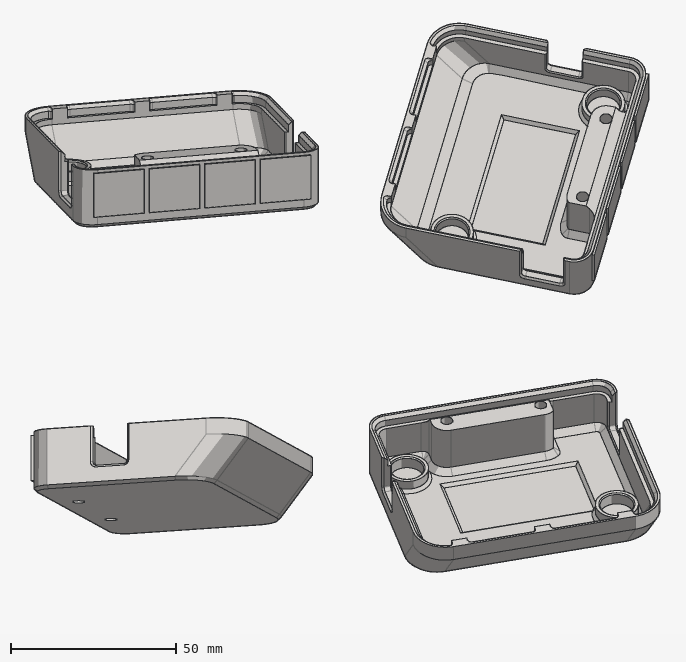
import cadquery as cq
import math

DIAGONAL = math.sqrt(0.5)

LENGTH = 67.0
WIDTH = 77.0
HEIGHT = 18.3
WALL = 3.0
FLOOR = 2.0
FRONT_RADIUS = 10.0
BACK_RADIUS = 6.0

SLOPE_TOP = 13.3
SLOPE_RUN = 10.0
BOTTOM_BEVEL = 1.0
FLOOR_BEVEL = 2.0

RIM_FLAT = 0.8
RIM_BEVEL = 1.0
LEDGE_DEPTH = 3.2
LIP = RIM_FLAT + RIM_BEVEL
LEDGE_Z = HEIGHT - LEDGE_DEPTH

TAB_LENGTH = 4.8
TAB_PITCH = 25.95
TAB_FLARE = 1.15

SLOT_RADIUS = 1.15
SLOT_OUTER_BEVEL = 0.6
SLOT_INNER_BEVEL = 0.4
FRONT_SLOT = (46.0, 59.0, 4.8)
REAR_SLOT = (35.4, 46.5, 6.15)

RING_CENTRES = [(55.0, 28.5), (21.9, -28.4)]
RING_OUTER = 13.0
RING_INNER = 10.2
RING_TOP = 6.0
RING_INNER_BEVEL = 0.4
RING_FOOT = 1.0

WINDOW_X = (25.4, 49.75)
WINDOW_Y = (-23.65, 19.55)
WINDOW_DEPTH = 1.0

SCREW_X = 59.1
SCREW_Y = 0.2
SCREW_SPACING = 29.4
SCREW_HOLE = 3.6
BLOCK_RADIUS = 4.8
BLOCK_SIDE_Y = -17.55
BLOCK_CORNER = 0.5
BLOCK_BACK_BEVEL = 3.0
FOOT_MARGIN = 0.02
BLOCK_FILLET = 2.0

PANEL_COUNT = 4
PANEL_LENGTH = 15.9
PANEL_PITCH = 17.5
PANEL_Z = (3.55, 17.4)
PANEL_RAISE = 0.6
PANEL_ROOT = 0.8
PANEL_SPAN_Y = 0.4


def outline(z, inset=0.0, shift=0.0):
    """Plan outline of the tray, inset all round, with its sloped end moved in by shift."""
    left = inset + shift
    right = LENGTH - inset
    half = WIDTH / 2 - inset
    r1 = FRONT_RADIUS - inset
    r2 = BACK_RADIUS - inset
    c1 = r1 * (1 - DIAGONAL)
    c2 = r2 * (1 - DIAGONAL)
    return (
        cq.Workplane("XY", origin=(0, 0, z))
        .moveTo(left + r1, -half)
        .lineTo(right - r2, -half)
        .threePointArc((right - c2, -half + c2), (right, -half + r2))
        .lineTo(right, half - r2)
        .threePointArc((right - c2, half - c2), (right - r2, half))
        .lineTo(left + r1, half)
        .threePointArc((left + c1, half - c1), (left, half - r1))
        .lineTo(left, -half + r1)
        .threePointArc((left + c1, -half + c1), (left + r1, -half))
        .close()
    )


def between(lower, upper):
    """Ruled solid between two outlines."""
    wires = [lower.wires().val(), upper.wires().val()]
    return cq.Workplane(cq.Solid.makeLoft(wires, True))


def box(x, y, z):
    """Box from its (low, high) extents."""
    size = [b - a for a, b in (x, y, z)]
    return cq.Workplane("XY", origin=(x[0], y[0], z[0])).box(*size, centered=False)


def outer_body():
    bevel = between(outline(0, BOTTOM_BEVEL, SLOPE_RUN), outline(BOTTOM_BEVEL, 0, SLOPE_RUN))
    sloped = between(outline(BOTTOM_BEVEL, 0, SLOPE_RUN), outline(SLOPE_TOP))
    rim = outline(SLOPE_TOP).extrude(HEIGHT - SLOPE_TOP)
    return bevel.union(sloped).union(rim)


def cavity():
    floor_shift = SLOPE_RUN * (SLOPE_TOP - FLOOR) / (SLOPE_TOP - BOTTOM_BEVEL)
    sloped = between(outline(FLOOR, WALL, floor_shift), outline(SLOPE_TOP, WALL))
    sloped = sloped.faces("<Z").chamfer(FLOOR_BEVEL)
    return sloped.union(outline(SLOPE_TOP, WALL).extrude(HEIGHT - SLOPE_TOP))


def lid_seat():
    groove = outline(LEDGE_Z, LIP).extrude(LEDGE_DEPTH)
    bevel = between(outline(HEIGHT - RIM_BEVEL, LIP), outline(HEIGHT, RIM_FLAT))
    return groove.union(bevel)


def tab_outline(z, y, rim_x):
    """Plan of a lid tab, flaring into the rim face at rim_x."""
    half = TAB_LENGTH / 2
    c = TAB_FLARE * (1 - DIAGONAL)
    return (
        cq.Workplane("XY", origin=(0, y, z))
        .moveTo(WALL, -half)
        .lineTo(WALL, half)
        .lineTo(rim_x + TAB_FLARE, half)
        .threePointArc((rim_x + c, half + c), (rim_x, half + TAB_FLARE))
        .lineTo(rim_x, -half - TAB_FLARE)
        .threePointArc((rim_x + c, -half - c), (rim_x + TAB_FLARE, -half))
        .close()
    )


def lid_tab(y):
    """Tab that fills the ledge up to the rim, with the rim bevel carried round its flares."""
    bevel_z = HEIGHT - RIM_BEVEL
    lower = tab_outline(LEDGE_Z, y, LIP).extrude(bevel_z - LEDGE_Z)
    return lower.union(between(tab_outline(bevel_z, y, LIP), tab_outline(HEIGHT, y, RIM_FLAT)))


def slot_outline(slot, y, grow=0.0):
    """Upright outline of a wall slot, open above the rim and rounded at the sill."""
    left, right, sill = slot[0] - grow, slot[1] + grow, slot[2] - grow
    r = SLOT_RADIUS + grow
    c = r * (1 - DIAGONAL)
    return (
        cq.Workplane("XZ", origin=(0, y, 0))
        .moveTo(left, HEIGHT)
        .lineTo(left, sill + r)
        .threePointArc((left + c, sill + c), (left + r, sill))
        .lineTo(right - r, sill)
        .threePointArc((right - c, sill + c), (right, sill + r))
        .lineTo(right, HEIGHT)
        .close()
    )


def wall_slot(slot, side):
    """Slot through the -Y (side -1) or +Y (side 1) wall, bevelled inside and out."""
    outer_y = side * WIDTH / 2
    inner_y = side * (WIDTH / 2 - WALL)
    outer_start = outer_y - side * SLOT_OUTER_BEVEL
    inner_start = inner_y + side * SLOT_INNER_BEVEL
    through = between(slot_outline(slot, inner_y), slot_outline(slot, outer_y))
    outer = between(slot_outline(slot, outer_start), slot_outline(slot, outer_y, SLOT_OUTER_BEVEL))
    inner = between(slot_outline(slot, inner_start), slot_outline(slot, inner_y, SLOT_INNER_BEVEL))
    return through.union(outer).union(inner)


def ring(centre):
    post = cq.Workplane("XY", origin=(*centre, FLOOR - WINDOW_DEPTH)).circle(RING_OUTER / 2)
    post = post.extrude(RING_TOP - FLOOR + WINDOW_DEPTH)
    foot = cq.Solid.makeCone(RING_OUTER / 2 + RING_FOOT, RING_OUTER / 2, RING_FOOT)
    return post.union(cq.Workplane(foot.translate(cq.Vector(*centre, FLOOR))))


def ring_bore(centre):
    bore = cq.Workplane("XY", origin=(*centre, FLOOR)).circle(RING_INNER / 2).extrude(RING_TOP - FLOOR)
    mouth = cq.Solid.makeCone(RING_INNER / 2, RING_INNER / 2 + RING_INNER_BEVEL, RING_INNER_BEVEL)
    mouth = mouth.translate(cq.Vector(*centre, RING_TOP - RING_INNER_BEVEL))
    return bore.union(cq.Workplane(mouth))


def window():
    x_mid = sum(WINDOW_X) / 2
    y_mid = sum(WINDOW_Y) / 2
    size = (WINDOW_X[1] - WINDOW_X[0], WINDOW_Y[1] - WINDOW_Y[0])
    return (
        cq.Workplane("XY", origin=(x_mid, y_mid, FLOOR))
        .rect(*size)
        .extrude(-WINDOW_DEPTH, taper=45)
    )


def block_outline(z, grow=0.0):
    """Plan of the screw block: one round end, one cut flat, hollow corners at the wall."""
    r = BLOCK_RADIUS + grow
    hollow = BLOCK_FILLET - grow
    wall_x = LENGTH - WALL - grow
    root_x = wall_x - hollow
    back_x = LENGTH - WALL / 2
    top_y = SCREW_Y + SCREW_SPACING / 2
    low_y = SCREW_Y - SCREW_SPACING / 2
    flat_y = BLOCK_SIDE_Y - grow
    drop = low_y - flat_y
    corner = BLOCK_CORNER + grow
    corner_angle = math.asin((drop - corner) / (r - corner))
    flat_x = SCREW_X - (r - corner) * math.cos(corner_angle)
    corner_y = flat_y + corner
    mid_angle = (corner_angle + math.pi / 2) / 2
    h = hollow * DIAGONAL
    return (
        cq.Workplane("XY", origin=(0, 0, z))
        .moveTo(flat_x, flat_y)
        .lineTo(root_x, flat_y)
        .threePointArc((root_x + h, flat_y - hollow + h), (wall_x, flat_y - hollow))
        .lineTo(back_x, flat_y - hollow)
        .lineTo(back_x, top_y + r + hollow)
        .lineTo(wall_x, top_y + r + hollow)
        .threePointArc((root_x + h, top_y + r + hollow - h), (root_x, top_y + r))
        .lineTo(SCREW_X, top_y + r)
        .threePointArc((SCREW_X - r * DIAGONAL, top_y + r * DIAGONAL), (SCREW_X - r, top_y))
        .lineTo(SCREW_X - r, low_y)
        .threePointArc(
            (SCREW_X - r * math.cos(corner_angle / 2), low_y - r * math.sin(corner_angle / 2)),
            (SCREW_X - r * math.cos(corner_angle), low_y - r * math.sin(corner_angle)),
        )
        .threePointArc(
            (flat_x - corner * math.cos(mid_angle), corner_y - corner * math.sin(mid_angle)),
            (flat_x, flat_y),
        )
        .close()
    )


def screw_block():
    column = block_outline(FLOOR).extrude(HEIGHT - FLOOR)
    back = (
        cq.Workplane("XZ", origin=(0, WIDTH / 2, 0))
        .moveTo(LENGTH - WALL - BLOCK_BACK_BEVEL, HEIGHT)
        .lineTo(LENGTH - WALL, LEDGE_Z)
        .lineTo(LENGTH, LEDGE_Z)
        .lineTo(LENGTH, HEIGHT)
        .close()
        .extrude(WIDTH)
    )
    column = column.cut(back)
    foot_bevel = FLOOR_BEVEL - FOOT_MARGIN
    foot = between(block_outline(FLOOR, foot_bevel), block_outline(FLOOR + foot_bevel))
    return column.union(foot)


def screw_holes():
    return (
        cq.Workplane("XY")
        .pushPoints([(SCREW_X, SCREW_Y + side * SCREW_SPACING / 2) for side in (-1, 1)])
        .circle(SCREW_HOLE / 2)
        .extrude(HEIGHT)
    )


def end_panel(index):
    y = PANEL_SPAN_Y + (index - (PANEL_COUNT - 1) / 2) * PANEL_PITCH
    y_extent = (y - PANEL_LENGTH / 2, y + PANEL_LENGTH / 2)
    return box((LENGTH - PANEL_ROOT, LENGTH + PANEL_RAISE), y_extent, PANEL_Z)


result = outer_body().cut(cavity()).cut(lid_seat()).cut(window())
for position in (-1, 0, 1):
    result = result.union(lid_tab(position * TAB_PITCH))
result = result.cut(wall_slot(FRONT_SLOT, -1)).cut(wall_slot(REAR_SLOT, 1))
for centre in RING_CENTRES:
    result = result.union(ring(centre))
result = result.union(screw_block())
for centre in RING_CENTRES:
    result = result.cut(ring_bore(centre))
result = result.cut(screw_holes())
for index in range(PANEL_COUNT):
    result = result.union(end_panel(index))